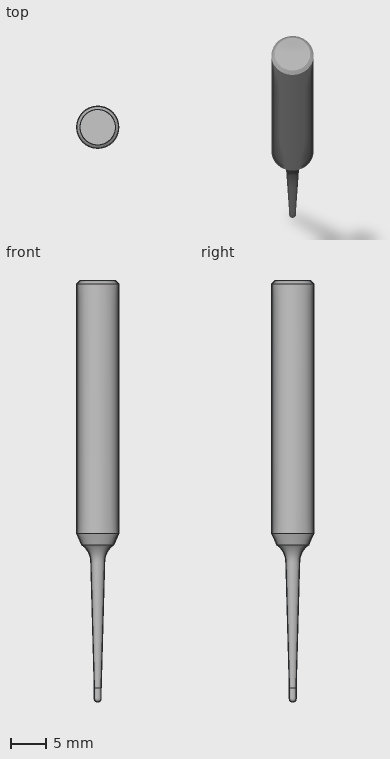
import cadquery as cq
import math

TOOL_LENGTH = 60.0
SHANK_RADIUS = 3.0
SHANK_BOTTOM = 24.0
END_CHAMFER = 0.5

SHOULDER_BOTTOM = 22.4
SHOULDER_RADIUS = 2.3
NECK_TOP = TOOL_LENGTH / 3
NECK_TOP_RADIUS = SHANK_RADIUS / 3

CUTTER_LENGTH = NECK_TOP / 10
CUTTER_RADIUS = NECK_TOP_RADIUS / 2


def blend_midpoint():
    """Middle of the blend arc, which leaves the neck parallel to the axis."""
    rise = SHOULDER_BOTTOM - NECK_TOP
    spread = SHOULDER_RADIUS - NECK_TOP_RADIUS
    blend_radius = (rise**2 + spread**2) / (2 * spread)
    half_sweep = math.asin(rise / blend_radius) / 2
    radius = NECK_TOP_RADIUS + blend_radius * (1 - math.cos(half_sweep))
    height = NECK_TOP + blend_radius * math.sin(half_sweep)
    return radius, height


def revolve_about_axis(profile):
    """Turn a closed radius-height profile a full circle about Z."""
    return profile.revolve(360, (0, 0, 0), (0, 1, 0))


def make_holder():
    """Chamfered shank, shoulder, blend and tapered neck."""
    profile = (
        cq.Workplane("XZ")
        .moveTo(0, CUTTER_LENGTH)
        .lineTo(CUTTER_RADIUS, CUTTER_LENGTH)
        .lineTo(NECK_TOP_RADIUS, NECK_TOP)
        .threePointArc(blend_midpoint(), (SHOULDER_RADIUS, SHOULDER_BOTTOM))
        .lineTo(SHANK_RADIUS, SHANK_BOTTOM)
        .lineTo(SHANK_RADIUS, TOOL_LENGTH - END_CHAMFER)
        .lineTo(SHANK_RADIUS - END_CHAMFER, TOOL_LENGTH)
        .lineTo(0, TOOL_LENGTH)
        .close()
    )
    return revolve_about_axis(profile)


def make_cutter():
    """Short cylinder with a hemispherical nose, meeting the neck end face."""
    diagonal = CUTTER_RADIUS * math.sqrt(0.5)
    profile = (
        cq.Workplane("XZ")
        .threePointArc((diagonal, CUTTER_RADIUS - diagonal), (CUTTER_RADIUS, CUTTER_RADIUS))
        .lineTo(CUTTER_RADIUS, CUTTER_LENGTH)
        .lineTo(0, CUTTER_LENGTH)
        .close()
    )
    return revolve_about_axis(profile)


holder = make_holder()
cutter = make_cutter()

result = cq.Compound.makeCompound([holder.val(), cutter.val()])